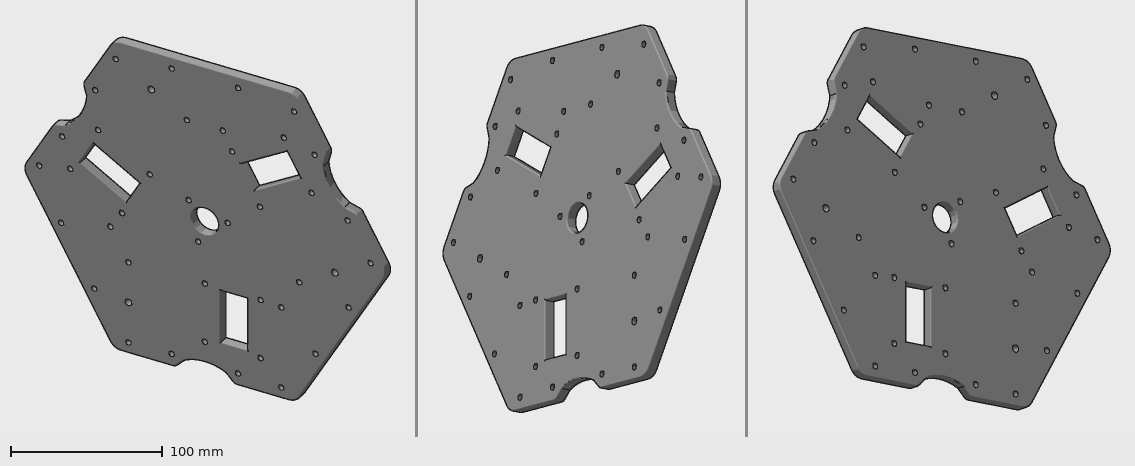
import cadquery as cq
import math

THICKNESS = 8.0
HEXAGON_SIDES = 6
ACROSS_FLATS = 238.5
CORNER_RADIUS = 10.0
EDGE_FILLET = 1.0
SECTORS = 3
SECTOR_ANGLE = 360.0 / SECTORS

APOTHEM = ACROSS_FLATS / 2
HEXAGON_DIAMETER = ACROSS_FLATS / math.cos(math.pi / HEXAGON_SIDES)

NOTCH_DEPTH = 10.4
NOTCH_MOUTH_HALF_WIDTH = 22.4
NOTCH_ROOF_HALF_WIDTH = 15.7
NOTCH_CORNER_RADIUS = 5.0
NOTCH_FLANK_HEIGHT = NOTCH_MOUTH_HALF_WIDTH - NOTCH_ROOF_HALF_WIDTH

BORE_DIAMETER = 20.0
BORE_RING_RADIUS = 17.75
BORE_RING_ANGLE = math.radians(-106.5)
BORE_RING_X = BORE_RING_RADIUS * math.cos(BORE_RING_ANGLE)
BORE_RING_Z = BORE_RING_RADIUS * math.sin(BORE_RING_ANGLE)

WINDOW_WIDTH = 20.0
WINDOW_HEIGHT = 40.0
WINDOW_X = 22.0
FRAME_WIDTH = 42.0
FRAME_HEIGHT = 45.0
FRAME_TOP_Z = -48.0
FRAME_BOTTOM_Z = FRAME_TOP_Z - FRAME_HEIGHT
WINDOW_Z = -70.0

SCREW_DIAMETER = 4.0
LARGE_DIAMETER = 5.0
RIM_X = 25.0
NOTCH_RIM_Z = -110.0
PLAIN_RIM_Z = 110.85
SIDE_X = 57.7
SIDE_TOP_Z = -49.0
SIDE_MIDDLE_Z = -80.0
SIDE_BOTTOM_Z = -111.0

SCREW_POINTS = [
    (-RIM_X, NOTCH_RIM_Z),
    (RIM_X, NOTCH_RIM_Z),
    (-RIM_X, PLAIN_RIM_Z),
    (RIM_X, PLAIN_RIM_Z),
    (-SIDE_X, SIDE_TOP_Z),
    (SIDE_X, SIDE_TOP_Z),
    (-SIDE_X, SIDE_BOTTOM_Z),
    (SIDE_X, SIDE_BOTTOM_Z),
    (0.0, FRAME_TOP_Z),
    (FRAME_WIDTH, FRAME_TOP_Z),
    (0.0, FRAME_BOTTOM_Z),
    (FRAME_WIDTH, FRAME_BOTTOM_Z),
    (BORE_RING_X, BORE_RING_Z),
]
LARGE_POINTS = [(-SIDE_X, SIDE_MIDDLE_Z)]


def front_plane():
    """Sketch on the mid plane of the plate: local x is X, local y is Z."""
    return cq.Workplane("XZ")


def through(sketch):
    """Extrude a sketch symmetrically through the plate thickness."""
    return sketch.extrude(THICKNESS / 2, both=True)


def in_every_sector(body):
    """Copies of a body turned around the Y axis into each sector."""
    copies = front_plane()
    for index in range(SECTORS):
        turned = body.rotate((0, 0, 0), (0, 1, 0), index * SECTOR_ANGLE)
        copies = copies.add(turned)
    return copies.combine()


def notch_mouth_edges(body):
    """Sharp edges across the thickness where the notch flanks meet the flats."""
    mouth_radius = math.hypot(NOTCH_MOUTH_HALF_WIDTH, APOTHEM)
    tolerance = 0.01

    def at_mouth(edge):
        center = edge.Center()
        return abs(math.hypot(center.x, center.z) - mouth_radius) < tolerance

    return body.edges("|Y").filter(at_mouth)


def make_notch():
    """Cutting body of the notch in the bottom flat."""
    mouth_z = -APOTHEM
    shoulder_z = mouth_z + NOTCH_FLANK_HEIGHT
    apex_z = mouth_z + NOTCH_DEPTH
    profile = (
        front_plane()
        .moveTo(-NOTCH_MOUTH_HALF_WIDTH, mouth_z)
        .lineTo(-NOTCH_ROOF_HALF_WIDTH, shoulder_z)
        .threePointArc((0, apex_z), (NOTCH_ROOF_HALF_WIDTH, shoulder_z))
        .lineTo(NOTCH_MOUTH_HALF_WIDTH, mouth_z)
        .close()
    )
    return through(profile)


def make_outline():
    """Rounded hexagonal plate with three notches."""
    plate = through(front_plane().polygon(HEXAGON_SIDES, HEXAGON_DIAMETER))
    plate = plate.edges("|Y").fillet(CORNER_RADIUS)
    plate = plate.cut(in_every_sector(make_notch()))
    return notch_mouth_edges(plate).fillet(NOTCH_CORNER_RADIUS)


def cut_openings(plate):
    """Central bore and the three windows."""
    bore = through(front_plane().circle(BORE_DIAMETER / 2))
    window = through(front_plane().center(WINDOW_X, WINDOW_Z).rect(WINDOW_WIDTH, WINDOW_HEIGHT))
    return plate.cut(bore).cut(in_every_sector(window))


def cut_holes(plate, points, diameter):
    """Plain through holes at the given points of every sector."""
    holes = through(front_plane().pushPoints(points).circle(diameter / 2))
    return plate.cut(in_every_sector(holes))


result = make_outline()
result = cut_openings(result)
result = result.faces("<Y or >Y").edges().fillet(EDGE_FILLET)
result = cut_holes(result, SCREW_POINTS, SCREW_DIAMETER)
result = cut_holes(result, LARGE_POINTS, LARGE_DIAMETER)